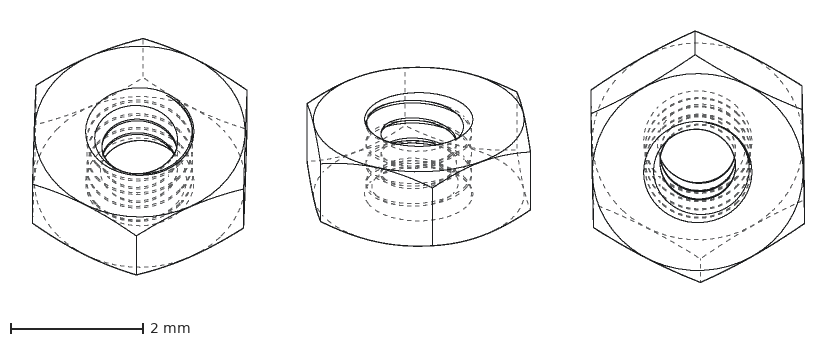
import cadquery as cq
import math

across_corners = 3.69
height = 1.3
across_flats = across_corners * math.cos(math.radians(30))

face_radius = across_flats / 2 - 0.005
corner_chamfer_slope = math.tan(math.radians(30))

pitch = 0.35
minor_radius = 0.572
major_radius = 0.8
root_flat = pitch / 8
flank_slope = math.tan(math.radians(30))
bore_overlap = 0.01
first_groove_depth = 0.115
turns_below_top = 5
turns_above_top = 1

countersink_radius = 0.82


def chamfered_hexagon():
    """Hexagonal prism intersected with a disc that has conical rims."""
    disc_radius = across_corners / 2 + 0.037
    rim_drop = (disc_radius - face_radius) * corner_chamfer_slope
    prism = (
        cq.Workplane("XY")
        .polygon(6, across_corners)
        .extrude(height)
        .rotate((0, 0, 0), (0, 0, 1), 30)
    )
    disc = (
        cq.Workplane("XZ")
        .moveTo(0, 0)
        .lineTo(face_radius, 0)
        .lineTo(disc_radius, rim_drop)
        .lineTo(disc_radius, height - rim_drop)
        .lineTo(face_radius, height)
        .lineTo(0, height)
        .close()
        .revolve(360, (0, 0, 0), (0, 1, 0))
    )
    return prism.intersect(disc)


def countersunk_bore():
    """Cutter for the minor-diameter bore and its two countersinks."""
    countersink_depth = countersink_radius - minor_radius
    return (
        cq.Workplane("XZ")
        .moveTo(0, 0)
        .lineTo(countersink_radius, 0)
        .lineTo(minor_radius, countersink_depth)
        .lineTo(minor_radius, height - countersink_depth)
        .lineTo(countersink_radius, height)
        .lineTo(0, height)
        .close()
        .revolve(360, (0, 0, 0), (0, 1, 0))
    )


def groove_turn():
    """Cutter for one turn of the V-groove, starting on the +X side at z = 0."""
    inner_radius = minor_radius - bore_overlap
    root_half = root_flat / 2
    mouth_half = root_half + (major_radius - inner_radius) * flank_slope
    helix = cq.Wire.makeHelix(pitch, pitch, minor_radius)
    return (
        cq.Workplane("XZ")
        .polyline([
            (inner_radius, -mouth_half),
            (major_radius, -root_half),
            (major_radius, root_half),
            (inner_radius, mouth_half),
        ])
        .close()
        .sweep(cq.Workplane(obj=helix), isFrenet=True)
    )


def cut_thread(body):
    """Cut the groove turn by turn, running out past both faces."""
    top_turn_z = height - first_groove_depth
    turn = groove_turn()
    for index in range(-turns_below_top, turns_above_top):
        body = body.cut(turn.translate((0, 0, top_turn_z + index * pitch)))
    return body


result = cut_thread(chamfered_hexagon().cut(countersunk_bore()))